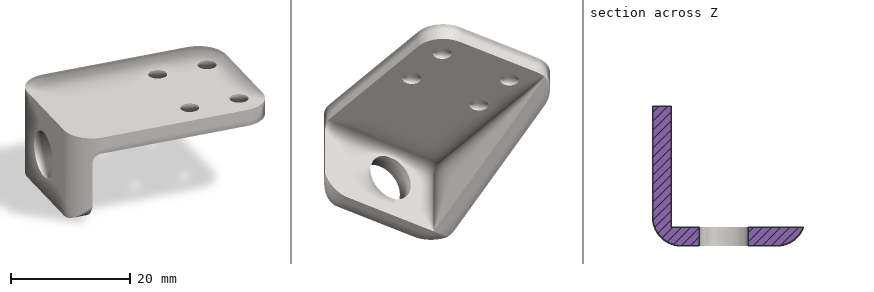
import cadquery as cq

WIDTH = 25.75
LENGTH = 36.2
HEIGHT = 16.0
PLATE_THICKNESS = 3.0
WALL_THICKNESS = 3.2
CORNER_RADIUS = 5.0
INNER_FILLET = 1.5

BORE_DIAMETER = 8.2
BORE_X = 12.0
BORE_Z = 7.5

MOUNT_DIAMETER = 3.2
MOUNT_COLUMNS = 2
MOUNT_ROWS = 2
MOUNT_SPACING_X = 13.7
MOUNT_SPACING_Y = 9.0
MOUNT_FIRST_X = 7.5
MOUNT_BACK_MARGIN = 4.5

PLATE_BOTTOM = HEIGHT - PLATE_THICKNESS


def rounded_block():
    """Full block with the four vertical corners rounded."""
    block = cq.Workplane("XY").box(WIDTH, LENGTH, HEIGHT, centered=False)
    return block.edges("|Z").fillet(CORNER_RADIUS)


def side_profile():
    """Prism whose underside slopes from the front wall up to the back of the plate."""
    return (
        cq.Workplane("YZ")
        .moveTo(0, 0)
        .lineTo(WALL_THICKNESS, 0)
        .lineTo(LENGTH, PLATE_BOTTOM)
        .lineTo(LENGTH, HEIGHT)
        .lineTo(0, HEIGHT)
        .close()
        .extrude(WIDTH)
    )


def front_profile():
    """Prism that rounds the lower corner of the front wall on its free +X end."""
    prism = cq.Workplane("XY").box(WIDTH, LENGTH, HEIGHT, centered=False)
    return prism.edges("|Y").edges(">X").edges("<Z").fillet(CORNER_RADIUS)


def cavity():
    """Space under the plate, open at +X, at the back and below, rounded where plate meets front wall."""
    space = (
        cq.Workplane("XY")
        .box(WIDTH, LENGTH, PLATE_BOTTOM, centered=False)
        .translate((WALL_THICKNESS, WALL_THICKNESS, 0))
    )
    return space.edges("|X").edges("<Y").edges(">Z").fillet(INNER_FILLET)


def bore():
    """Cylinder along Y through the front wall."""
    return (
        cq.Workplane("XZ", origin=(BORE_X, 0, BORE_Z))
        .circle(BORE_DIAMETER / 2)
        .extrude(-WALL_THICKNESS)
    )


def mounting_holes():
    """Four vertical cylinders through the plate."""
    last_y = LENGTH - MOUNT_BACK_MARGIN
    centres = [
        (MOUNT_FIRST_X + column * MOUNT_SPACING_X, last_y - row * MOUNT_SPACING_Y)
        for column in range(MOUNT_COLUMNS)
        for row in range(MOUNT_ROWS)
    ]
    return (
        cq.Workplane("XY", origin=(0, 0, PLATE_BOTTOM))
        .pushPoints(centres)
        .circle(MOUNT_DIAMETER / 2)
        .extrude(PLATE_THICKNESS)
    )


body = rounded_block().intersect(side_profile()).intersect(front_profile())
result = body.cut(cavity()).cut(bore()).cut(mounting_holes())